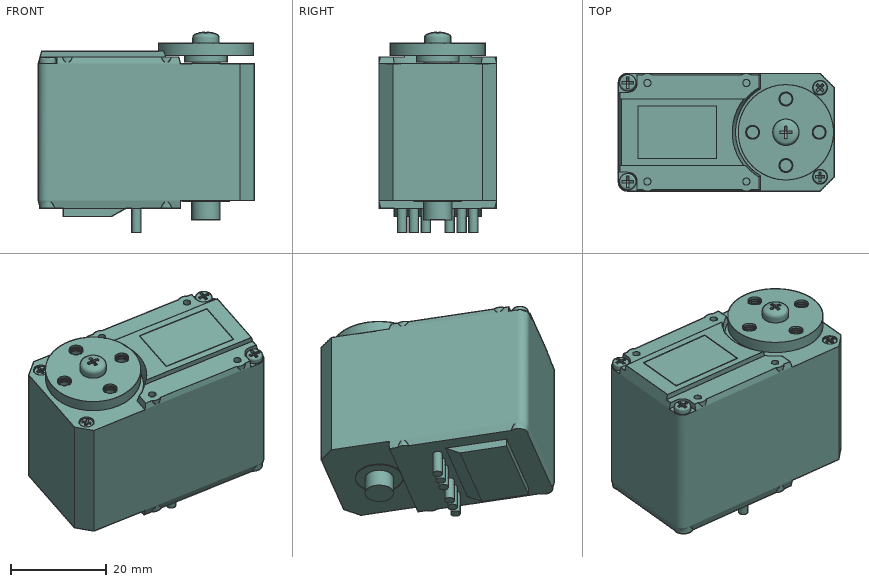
import cadquery as cq
import math

CASE_LENGTH = 45.4
CASE_WIDTH = 24.8
CASE_HEIGHT = 28.85
CORNER_RADIUS = 2.0
NOSE_CHAMFER = 3.0
HALF_WIDTH = CASE_WIDTH / 2

COVER_LENGTH = 29.9
DRAFT_ANGLE = 15.0
SHELF_HEIGHT = 1.4
TOP_COVER_HEIGHT = 2.6
RIDGE_WIDTH = 14.0
BOTTOM_COVER_HEIGHT = 1.6
HORN_CLEARANCE_RADIUS = 10.6

BOSS_RADIUS = 2.0
BOSS_Y = 10.35
COVER_HOLE_DIAMETER = 1.5
COVER_HOLE_X = (6.15, 26.9)
BOTTOM_BOSS_X = (2.3, 26.9)

LABEL_X = 4.18
LABEL_LENGTH = 16.45
LABEL_WIDTH = 11.0
LABEL_DEPTH = 0.1

SHAFT_X = 35.25
SHAFT_DIAMETER = 5.85
HUB_DIAMETER = 9.0
HORN_DIAMETER = 20.0
SHAFT_GAP = 0.3
HUB_HEIGHT = 1.35
HORN_THICKNESS = 2.6
HUB_BASE = CASE_HEIGHT + SHAFT_GAP
HORN_BASE = HUB_BASE + HUB_HEIGHT
HORN_TOP = HORN_BASE + HORN_THICKNESS
HORN_HOLE_COUNT = 4
HORN_HOLE_CIRCLE_RADIUS = 7.0
THREAD_MAJOR_DIAMETER = 2.9
THREAD_MINOR_DIAMETER = 2.55
THREAD_PITCH = 1.0

HORN_SCREW_DIAMETER = 5.55
HORN_SCREW_HEIGHT = 2.35
HORN_SCREW_DOME_RADIUS = 5.75
HORN_SCREW_ROUNDING = 0.8
HORN_SCREW_CROSS_LENGTH = 2.85
HORN_SCREW_CROSS_WIDTH = 0.55

CASE_SCREW_HEIGHT = 1.25
CASE_SCREW_CROSS_WIDTH = 0.5
CROSS_DEPTH = 1.0
REAR_SCREW_DIAMETER = 3.5
REAR_SCREW_ROUNDING = 0.5
REAR_SCREW_CROSS_LENGTH = 2.35
REAR_SCREW_X = CORNER_RADIUS
REAR_SCREW_Y = HALF_WIDTH - CORNER_RADIUS
NOSE_SCREW_DIAMETER = 2.9
NOSE_SCREW_ROUNDING = 0.35
NOSE_SCREW_CROSS_LENGTH = 1.9
NOSE_SCREW_TURN = 45.0
NOSE_SCREW_X = 42.4
NOSE_SCREW_Y = 9.35
NOSE_BORE_DIAMETER = 3.1
NOSE_BORE_DEPTH = 1.35

IDLER_DIAMETER = 6.0
IDLER_LENGTH = 4.0
PAD_DIAMETER = 10.0
PAD_THICKNESS = 0.2
CONNECTOR_X = 5.2
CONNECTOR_LENGTH = 13.25
CONNECTOR_FLAT_LENGTH = 10.12
CONNECTOR_WIDTH = 18.35
CONNECTOR_HEIGHT = 1.75
CABLE_X = 20.6
CABLE_DIAMETER = 2.0
CABLE_LENGTH = 5.1
CABLE_PITCH = 2.5
CABLES_PER_SIDE = 3

OVERLAP = 0.45


def cylinder(diameter, x, y, z_low, z_high):
    """Upright cylinder between two heights."""
    return cq.Workplane("XY", origin=(x, y, z_low)).circle(diameter / 2).extrude(z_high - z_low)


def block(x_low, length, width, z_low, z_high, y=0):
    """Box that starts at x_low and is centred on y."""
    size_z = z_high - z_low
    return cq.Workplane("XY", origin=(x_low, y, z_low)).box(length, width, size_z, (False, True, False))


def case():
    """Main case: rounded rear corners and chamfered nose corners."""
    body = block(0, CASE_LENGTH, CASE_WIDTH, 0, CASE_HEIGHT)
    body = body.edges("|Z and <X").fillet(CORNER_RADIUS)
    return body.edges("|Z and >X").chamfer(NOSE_CHAMFER)


def drafted_cover(length, height):
    """Cover slab growing up from z = 0 with walls that lean inwards."""
    outline = block(0, length, CASE_WIDTH, 0, height).edges("|Z and <X").fillet(CORNER_RADIUS)
    return outline.faces("<Z").wires().toPending().extrude(height, taper=DRAFT_ANGLE, combine=False)


def corner_pocket(side):
    """Clearance around a rear screw, open towards both outer walls."""
    size = 2 * CORNER_RADIUS
    pocket_y = side * (HALF_WIDTH - size / 2)
    pocket = block(-OVERLAP, size + OVERLAP, size, 0, TOP_COVER_HEIGHT, pocket_y)
    pocket = pocket.union(block(0, size, OVERLAP, 0, TOP_COVER_HEIGHT, side * HALF_WIDTH))
    inner_edge = "|Z and >X and " + ("<Y" if side > 0 else ">Y")
    return pocket.edges(inner_edge).fillet(CORNER_RADIUS)


def top_cover():
    """Cover with a raised middle ridge and two lower shelves carrying mounting holes."""
    cover = drafted_cover(COVER_LENGTH, TOP_COVER_HEIGHT)
    shelf_width = (CASE_WIDTH - RIDGE_WIDTH) / 2
    for side in (-1, 1):
        shelf_y = side * (RIDGE_WIDTH + shelf_width) / 2
        cover = cover.cut(block(0, COVER_LENGTH, shelf_width, SHELF_HEIGHT, TOP_COVER_HEIGHT, shelf_y))
        for x in COVER_HOLE_X:
            cover = cover.union(cylinder(2 * BOSS_RADIUS, x, side * BOSS_Y, 0, SHELF_HEIGHT))
            cover = cover.cut(cylinder(COVER_HOLE_DIAMETER, x, side * BOSS_Y, 0, SHELF_HEIGHT))
        cover = cover.cut(corner_pocket(side))
    clearance = cq.Workplane("XY", origin=(SHAFT_X, 0, 0)).circle(HORN_CLEARANCE_RADIUS)
    cover = cover.cut(clearance.extrude(TOP_COVER_HEIGHT, taper=-DRAFT_ANGLE))
    label_floor = TOP_COVER_HEIGHT - LABEL_DEPTH
    cover = cover.cut(block(LABEL_X, LABEL_LENGTH, LABEL_WIDTH, label_floor, TOP_COVER_HEIGHT))
    return cover.translate((0, 0, CASE_HEIGHT))


def bottom_cover():
    """Cover below the case with four side bosses and an upright end wall facing the idler boss."""
    cover = drafted_cover(COVER_LENGTH + BOTTOM_COVER_HEIGHT, BOTTOM_COVER_HEIGHT)
    cover = cover.intersect(block(0, COVER_LENGTH, CASE_WIDTH, 0, BOTTOM_COVER_HEIGHT))
    cover = cover.mirror("XY")
    for side in (-1, 1):
        for x in BOTTOM_BOSS_X:
            cover = cover.union(cylinder(2 * BOSS_RADIUS, x, side * BOSS_Y, -BOTTOM_COVER_HEIGHT, 0))
    return cover


def cross_recess(length, width, top):
    """Cross-shaped driver recess below the given height, its arms running out towards the top."""
    arm = cq.Workplane("XZ").moveTo(-length / 2, 0).lineTo(-width / 2, -CROSS_DEPTH)
    arm = arm.lineTo(width / 2, -CROSS_DEPTH).lineTo(length / 2, 0).close().extrude(width / 2, both=True)
    crossed_arm = arm.rotate((0, 0, 0), (0, 0, 1), 90)
    return arm.union(crossed_arm).translate((0, 0, top))


def case_screw(diameter, rounding, cross_length):
    """Pan head standing on z = 0, centred on the z axis."""
    head = cylinder(diameter, 0, 0, 0, CASE_SCREW_HEIGHT).faces(">Z").edges().fillet(rounding)
    return head.cut(cross_recess(cross_length, CASE_SCREW_CROSS_WIDTH, CASE_SCREW_HEIGHT))


def horn_screw():
    """Domed head standing on z = 0, centred on the z axis."""
    head = cylinder(HORN_SCREW_DIAMETER, 0, 0, 0, HORN_SCREW_HEIGHT)
    dome = cq.Workplane("XY").sphere(HORN_SCREW_DOME_RADIUS)
    head = head.intersect(dome.translate((0, 0, HORN_SCREW_HEIGHT - HORN_SCREW_DOME_RADIUS)))
    head = head.edges("%CIRCLE and (not <Z)").fillet(HORN_SCREW_ROUNDING)
    return head.cut(cross_recess(HORN_SCREW_CROSS_LENGTH, HORN_SCREW_CROSS_WIDTH, HORN_SCREW_HEIGHT))


def threaded_hole():
    """Through hole of the horn at the shaft axis, its thread simplified to plain ring grooves."""
    hole = cylinder(THREAD_MINOR_DIAMETER, 0, 0, HORN_BASE, HORN_TOP)
    groove_top = HORN_TOP
    while groove_top > HORN_BASE + THREAD_PITCH:
        groove_base = groove_top - THREAD_PITCH / 2
        hole = hole.union(cylinder(THREAD_MAJOR_DIAMETER, 0, 0, groove_base, groove_top))
        groove_top -= THREAD_PITCH
    return hole


def horn():
    """Shaft end, hub and round horn disc with its ring of holes and centre screw."""
    body = cylinder(SHAFT_DIAMETER, 0, 0, CASE_HEIGHT - OVERLAP, HUB_BASE)
    body = body.union(cylinder(HUB_DIAMETER, 0, 0, HUB_BASE, HORN_BASE))
    body = body.union(cylinder(HORN_DIAMETER, 0, 0, HORN_BASE, HORN_TOP))
    hole = threaded_hole()
    for index in range(HORN_HOLE_COUNT):
        angle = 2 * math.pi * index / HORN_HOLE_COUNT
        x = HORN_HOLE_CIRCLE_RADIUS * math.cos(angle)
        y = HORN_HOLE_CIRCLE_RADIUS * math.sin(angle)
        body = body.cut(hole.translate((x, y, 0)))
    body = body.union(horn_screw().translate((0, 0, HORN_TOP)))
    return body.translate((SHAFT_X, 0, 0))


def connector():
    """Block under the bottom cover whose front end slopes up to the cover."""
    base = -BOTTOM_COVER_HEIGHT
    low = base - CONNECTOR_HEIGHT
    profile = cq.Workplane("XZ").moveTo(CONNECTOR_X, base)
    profile = profile.lineTo(CONNECTOR_X + CONNECTOR_LENGTH, base)
    profile = profile.lineTo(CONNECTOR_X + CONNECTOR_FLAT_LENGTH, low)
    profile = profile.lineTo(CONNECTOR_X, low).close()
    return profile.extrude(CONNECTOR_WIDTH / 2, both=True)


def cables():
    """Row of round cable stubs, three on each side of the middle."""
    base = -BOTTOM_COVER_HEIGHT
    row = cq.Workplane("XY")
    for index in range(1, CABLES_PER_SIDE + 1):
        for side in (-1, 1):
            y = side * index * CABLE_PITCH
            row = row.union(cylinder(CABLE_DIAMETER, CABLE_X, y, base - CABLE_LENGTH, base + OVERLAP))
    return row


result = case().union(top_cover()).union(bottom_cover())

for side in (-1, 1):
    rear_screw = case_screw(REAR_SCREW_DIAMETER, REAR_SCREW_ROUNDING, REAR_SCREW_CROSS_LENGTH)
    result = result.union(rear_screw.translate((REAR_SCREW_X, side * REAR_SCREW_Y, CASE_HEIGHT)))

    bore_floor = CASE_HEIGHT - NOSE_BORE_DEPTH
    nose_y = side * NOSE_SCREW_Y
    result = result.cut(cylinder(NOSE_BORE_DIAMETER, NOSE_SCREW_X, nose_y, bore_floor, CASE_HEIGHT))
    nose_screw = case_screw(NOSE_SCREW_DIAMETER, NOSE_SCREW_ROUNDING, NOSE_SCREW_CROSS_LENGTH)
    if side > 0:
        nose_screw = nose_screw.rotate((0, 0, 0), (0, 0, 1), NOSE_SCREW_TURN)
    result = result.union(nose_screw.translate((NOSE_SCREW_X, nose_y, bore_floor)))

result = result.union(horn())
result = result.union(cylinder(IDLER_DIAMETER, SHAFT_X, 0, -IDLER_LENGTH, OVERLAP))
result = result.union(cylinder(PAD_DIAMETER, SHAFT_X, 0, -PAD_THICKNESS, OVERLAP))
result = result.union(connector()).union(cables())